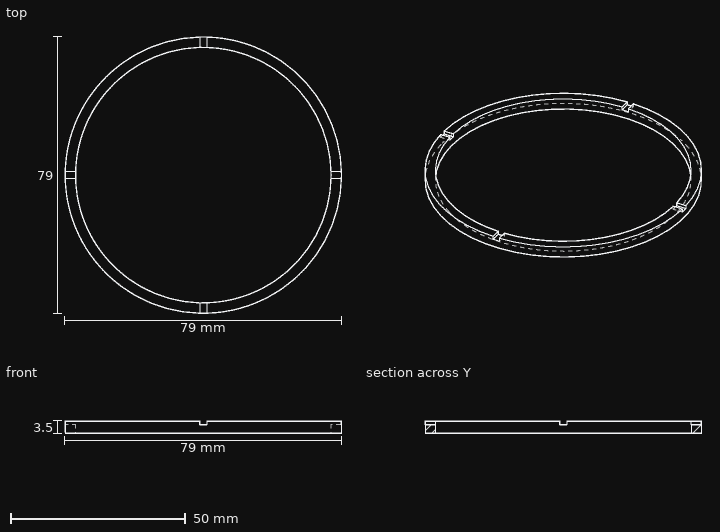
import cadquery as cq

outer_diameter = 79.0
inner_diameter = 73.0
ring_height = 3.5

notch_width = 2.0
notch_depth = 1.0
notched_diameters = 2


def make_ring():
    """Plain flat ring standing on the XY plane, centred on Z."""
    return (
        cq.Workplane("XY")
        .circle(outer_diameter / 2)
        .circle(inner_diameter / 2)
        .extrude(ring_height)
    )


def make_notch_cutter(angle):
    """Bar across the full diameter, sunk into the top face."""
    return (
        cq.Workplane("XY")
        .workplane(offset=ring_height - notch_depth)
        .rect(outer_diameter + notch_width, notch_width)
        .extrude(notch_depth)
        .rotate((0, 0, 0), (0, 0, 1), angle)
    )


result = make_ring()
for index in range(notched_diameters):
    result = result.cut(make_notch_cutter(index * 180.0 / notched_diameters))